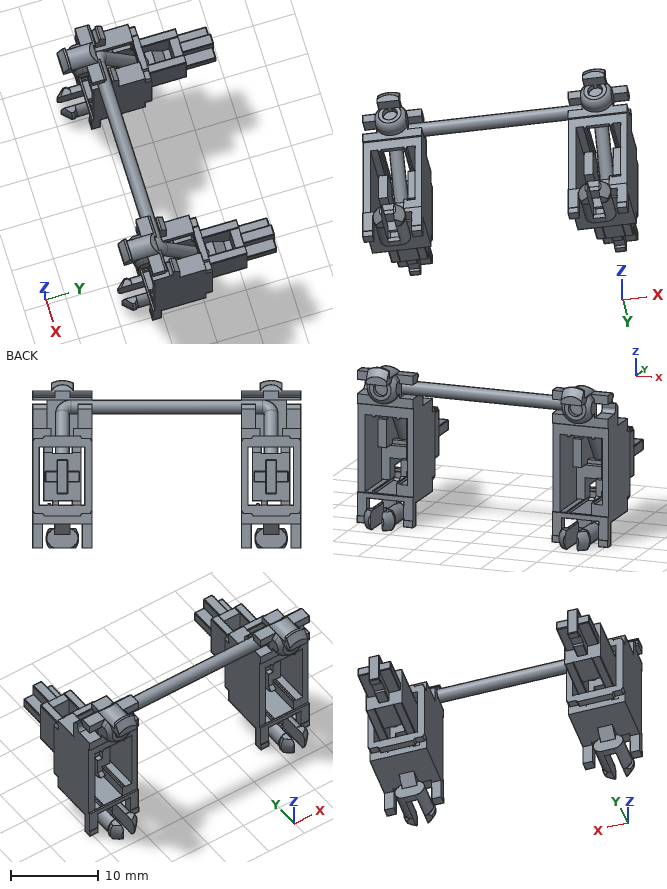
import cadquery as cq


overall_width = 30.7
housing_width = 6.82
unit_spacing = overall_width - housing_width
unit_centres = (-unit_spacing / 2, unit_spacing / 2)
half_width = housing_width / 2

body_bottom = 2.73
body_top = 13.7
body_back = 6.15
cavity_left = -2.55
cavity_right = 2.65
cavity_back = 6.02
cavity_bottom = 3.62
cavity_top = 12.8
back_plate_thickness = 0.77
back_plate_end = body_back + back_plate_thickness
window_bottom = 4.9
window_top = 11.55
sill_drop = 0.3
sill_depth = 0.3
top_slot_half = 1.3
ledge_start = 1.32
ridge_offset = 1.5
ridge_half = 0.2
ridge_crest_half = 0.1
ridge_height = 0.2
floor_ramp_height = 0.28

plate_mid_z = 8.25
plate_half_height = 4.57
plate_shoulder_drop = 0.28
plate_corner_drop = 0.7
plate_middle_half = 2.05
plate_shoulder_half = 2.25
plate_bevel_half = 3.2

front_lip = 0.2
lip_top_z = 14.1
lip_bottom_z = 3.55
cradle_back = 2.98
cradle_chamfer_z = 15.9
cradle_tip = (2.4, 16.5)
cradle_mouth = (2.18, 16.45)
cradle_wall = (2.2, 15.9)
cradle_bend = (2.12, 15.55)
cradle_floor = (1.8, 15.32)
cradle_front_z = 15.23
post_half = 1.78
post_back = 0.43
bar_bottom = 16.95
bar_top = 18.0
bar_back = 1.23
bar_nose = 1.5
bar_notch_half = 0.85
bar_nose_bottom = 17.5
bar_nose_top = 17.75

boss_z = 16.5
boss_radius = 1.93
boss_front = -1.75
boss_rim_radius = 1.32
boss_round_start = -0.8
boss_bore_radius = 0.85
boss_bore_depth = 0.6
hook_half = 1.25
hook_front = -3.0
hook_back = -2.05
hook_tip_front = -2.33
hook_bottom = 17.3
hook_front_radius = 1.8
hook_tip_radius = 2.7
roof_top = 18.7
roof_bevel_start = 0.55

foot_inner = 2.27
foot_back = 0.77
foot_bridge_bottom = 2.98
foot_pad_height = 0.8
foot_pad_front = -0.28
pin_height = 2.25
pin_half_width = 1.78
pin_back = 1.93
pin_neck_radius = 1.6
pin_neck_end = -1.47
pin_head_radius = 1.87
pin_head_start = -1.75
pin_head_end = -2.12
pin_nose_middle = (1.45, -2.6)
pin_nose_radius = 0.95
pin_front = -3.13
slit_half = 0.7
web_front = 1.15
web_half = 0.9
web_back = 3.13
socket_half_back = 0.5
socket_depth = 0.3
socket_bottom = 0.58
socket_top = 1.63

stem_half = 2.15
wing_inner = 1.1
stem_bottom = 5.4
stem_top = 10.93
stem_end = 11.42
stem_mid_z = (stem_bottom + stem_top) / 2
wing_chamfer = 0.1
flange_back = 5.83
flange_front = 3.1
left_flange_top = 11.9
right_flange_top = 12.3
plate_top = 8.2
plate_rear_top = 8.65
plate_front = 4.3
plate_step = 5.07
plate_bottom = 6.7
left_leg_bottom = 4.08
left_step_front = 3.68
right_pad_front = 3.68
right_flange_front = 3.8
tongue_start = 0.43
tongue_bottom = 4.15
tongue_top = 6.8
tongue_barb_top = 4.82
tongue_barb_tip_z = 4.45

end_wall_front = 10.35
pocket_floor = 7.2
ramp_end = 9.58
ramp_top = 8.5
crossbar_front = 7.37
crossbar_back = 8.25
underside_end = 8.15

cross_end = 15.17
cross_arm_end = 15.05
cross_half = 1.95
cross_thickness = 1.25
cross_chamfer = 0.1
notch_start = 13.02
notch_length = 1.35
notch_depth = 0.37

wire_radius = 0.8
wire_y = 1.3
wire_z = bar_bottom - wire_radius
leg_angle = 55.0
leg_length = 11.67
bend_radius = 0.98


def block(x0, x1, y0, y1, z0, z1):
    """Box between two corners."""
    return cq.Workplane("XY").box(x1 - x0, y1 - y0, z1 - z0, centered=False).translate((x0, y0, z0))


def side_profile(points, x0, x1):
    """Closed (y, z) outline extruded from x0 to x1."""
    return cq.Workplane("YZ").polyline(points).close().extrude(x1 - x0).translate((x0, 0, 0))


def revolved_about_y(points, axis_z):
    """Closed (radius, y) outline turned about the line x = 0, z = axis_z."""
    outline = cq.Workplane("XY").polyline(points).close()
    return outline.revolve(360, (0, 0, 0), (0, 1, 0)).translate((0, 0, axis_z))


def make_back_plate():
    steps = [
        (half_width, plate_half_height - plate_corner_drop),
        (plate_bevel_half, plate_half_height - plate_shoulder_drop),
        (plate_shoulder_half, plate_half_height - plate_shoulder_drop),
        (plate_middle_half, plate_half_height),
    ]
    upper = [(x, plate_mid_z + h) for x, h in steps] + [(-x, plate_mid_z + h) for x, h in reversed(steps)]
    lower = [(x, 2 * plate_mid_z - z) for x, z in reversed(upper)]
    plate = cq.Workplane("XZ").polyline(upper + lower).close().extrude(-back_plate_thickness)
    return plate.translate((0, body_back, 0))


def make_ridge(x, z, height):
    """Small rib running through the cavity; a negative height hangs down."""
    outline = [
        (x - ridge_half, z),
        (x - ridge_crest_half, z + height),
        (x + ridge_crest_half, z + height),
        (x + ridge_half, z),
    ]
    return cq.Workplane("XZ").polyline(outline).close().extrude(-cavity_back)


def make_shell():
    shell = block(-half_width, half_width, 0, body_back, body_bottom, body_top)
    shell = shell.union(make_back_plate())
    shell = shell.cut(block(cavity_left, cavity_right, 0, cavity_back, cavity_bottom, cavity_top))
    shell = shell.cut(
        block(cavity_left, cavity_right, cavity_back, back_plate_end, window_bottom, window_top)
    )
    shell = shell.union(block(ledge_start, cavity_right, 0, cavity_back, cavity_bottom, window_bottom))
    sill_bottom = window_bottom - sill_drop
    shell = shell.cut(
        block(
            -top_slot_half, top_slot_half, cavity_back, cavity_back + sill_depth,
            sill_bottom, window_bottom,
        )
    )
    ramp = [
        (cavity_back, cavity_bottom),
        (cavity_back, cavity_bottom + floor_ramp_height),
        (cavity_back - floor_ramp_height, cavity_bottom),
    ]
    shell = shell.union(side_profile(ramp, -top_slot_half, top_slot_half))
    for x in (-ridge_offset, ridge_offset):
        shell = shell.union(make_ridge(x, cavity_top, -ridge_height))
    shell = shell.union(make_ridge(-ridge_offset, cavity_bottom, ridge_height))
    return shell.union(make_ridge(ridge_offset, window_bottom, ridge_height))


def make_cradle():
    """Raised front wall whose two outer parts hold the wire in a groove."""
    cradle = (
        cq.Workplane("YZ")
        .moveTo(0, cavity_top)
        .lineTo(cradle_back, cavity_top)
        .lineTo(cradle_back, cradle_chamfer_z)
        .lineTo(*cradle_tip)
        .lineTo(*cradle_mouth)
        .lineTo(*cradle_wall)
        .threePointArc(cradle_bend, cradle_floor)
        .lineTo(-front_lip, cradle_front_z)
        .lineTo(-front_lip, lip_top_z)
        .lineTo(0, lip_top_z)
        .close()
        .extrude(housing_width)
        .translate((-half_width, 0, 0))
    )
    return cradle.cut(block(-post_half, post_half, post_back, cradle_back, body_top, cradle_tip[1]))


def make_clip_bar():
    bar = [
        (-front_lip, bar_bottom),
        (bar_back, bar_bottom),
        (bar_back, (bar_bottom + bar_nose_bottom) / 2),
        (bar_nose, bar_nose_bottom),
        (bar_nose, bar_nose_top),
        (bar_back, bar_top),
        (-front_lip, bar_top),
    ]
    clip = side_profile(bar, -half_width, half_width)
    clip = clip.cut(block(-bar_notch_half, bar_notch_half, bar_back, bar_nose, bar_bottom, bar_top))
    return clip.union(block(-post_half, post_half, -front_lip, post_back, lip_top_z, bar_top))


def make_boss():
    """Round boss with flattened sides, a rounded front rim and a blind bore."""
    boss = (
        cq.Workplane("XY")
        .lineTo(boss_radius, 0)
        .lineTo(boss_radius, boss_round_start)
        .tangentArcPoint((boss_rim_radius, boss_front), relative=False)
        .lineTo(0, boss_front)
        .close()
        .revolve(360, (0, 0, 0), (0, 1, 0))
    )
    bore = cq.Workplane("XZ").circle(boss_bore_radius).extrude(boss_bore_depth)
    boss = boss.cut(bore.translate((0, boss_front + boss_bore_depth, 0))).translate((0, 0, boss_z))
    flats = block(-post_half, post_half, boss_front, 0, boss_z - boss_radius, boss_z + boss_radius)
    return boss.intersect(flats)


def make_hook():
    """Snap hook: an arched roof that ends in a barb turned about the boss axis."""
    roof = (
        cq.Workplane("XZ")
        .moveTo(-hook_half, hook_bottom)
        .lineTo(-hook_half, bar_top)
        .threePointArc((0, roof_top), (hook_half, bar_top))
        .lineTo(hook_half, hook_bottom)
        .close()
        .extrude(bar_back - hook_front)
        .translate((0, bar_back, 0))
    )
    roof_side = [
        (post_back, hook_bottom),
        (bar_back, bar_top),
        (roof_bevel_start, roof_top),
        (hook_back, roof_top),
        (hook_back, hook_bottom),
    ]
    roof = roof.intersect(side_profile(roof_side, -hook_half, hook_half))
    barb = revolved_about_y(
        [
            (0, hook_front),
            (hook_front_radius, hook_front),
            (hook_tip_radius, hook_tip_front),
            (hook_tip_radius, hook_back),
            (0, hook_back),
        ],
        boss_z,
    )
    barb = barb.intersect(
        block(-hook_half, hook_half, hook_front, hook_back, hook_bottom, boss_z + hook_tip_radius)
    )
    return roof.union(barb)


def make_feet():
    feet = block(-half_width, half_width, -front_lip, foot_back, 0, lip_bottom_z)
    return feet.union(block(-half_width, half_width, foot_pad_front, 0, 0, foot_pad_height))


def make_foot_opening():
    """Space between the two feet that the split pin hangs in."""
    return block(-foot_inner, foot_inner, foot_pad_front, web_front, 0, foot_bridge_bottom)


def make_split_pin():
    """Split snap pin with a rounded flat shank, hung from the body by a triangular web."""
    shank = cq.Workplane("XZ").slot2D(2 * pin_half_width, pin_height).extrude(pin_back - pin_neck_end)
    shank = shank.translate((0, pin_back, pin_height / 2))
    head = (
        cq.Workplane("XY")
        .moveTo(0, pin_neck_end)
        .lineTo(pin_neck_radius, pin_neck_end)
        .lineTo(pin_head_radius, pin_head_start)
        .lineTo(pin_head_radius, pin_head_end)
        .threePointArc(pin_nose_middle, (pin_nose_radius, pin_front))
        .lineTo(0, pin_front)
        .close()
        .revolve(360, (0, 0, 0), (0, 1, 0))
        .translate((0, 0, pin_height / 2))
    )
    head = head.intersect(
        block(-pin_head_radius, pin_head_radius, pin_front, pin_neck_end, 0, pin_height)
    )
    pin = shank.union(head)
    pin = pin.cut(block(-slit_half, slit_half, pin_front, web_front, 0, pin_height))
    socket = cq.Workplane("XY").polyline(
        [
            (-slit_half, web_front),
            (-socket_half_back, web_front + socket_depth),
            (socket_half_back, web_front + socket_depth),
            (slit_half, web_front),
        ]
    )
    socket = socket.close().extrude(socket_top - socket_bottom).translate((0, 0, socket_bottom))
    web_drop = web_back - pin_back
    web = [
        (web_front, foot_bridge_bottom),
        (web_back, foot_bridge_bottom),
        (web_back, body_bottom),
        (pin_back, body_bottom - web_drop),
        (web_front, body_bottom - web_drop),
    ]
    return pin.union(side_profile(web, -web_half, web_half)).cut(socket)


def make_housing(x):
    housing = make_shell().union(make_cradle()).union(make_clip_bar())
    housing = housing.union(make_boss()).union(make_hook())
    housing = housing.union(make_feet()).cut(make_foot_opening()).union(make_split_pin())
    slot = block(-top_slot_half, top_slot_half, post_back, body_back, cavity_top, body_top)
    return housing.cut(slot).translate((x, 0, 0))


def make_wings():
    wings = None
    for x0 in (-stem_half, wing_inner):
        wing = block(x0, x0 + stem_half - wing_inner, flange_back, stem_end, stem_bottom, stem_top)
        wing = wing.edges("|Y").chamfer(wing_chamfer)
        wings = wing if wings is None else wings.union(wing)
    left_flange = block(-stem_half, -wing_inner, flange_front, flange_back, plate_top, window_top)
    left_step = block(-stem_half, -wing_inner, left_step_front, flange_back, window_top, left_flange_top)
    right_flange = block(
        wing_inner, stem_half, right_flange_front, flange_back, plate_top, right_flange_top
    )
    return wings.union(left_flange).union(left_step).union(right_flange)


def make_front_plate():
    """Plate under the wire legs that joins both wings, with its legs and tongue."""
    plate = block(-stem_half, stem_half, plate_front, flange_back, plate_bottom, plate_top)
    plate = plate.union(block(-wing_inner, wing_inner, plate_step, flange_back, plate_top, plate_rear_top))
    plate = plate.union(
        block(-stem_half, -wing_inner, plate_front, flange_back, left_leg_bottom, plate_top)
    )
    plate = plate.union(
        block(wing_inner, stem_half, right_pad_front, flange_back, stem_bottom, plate_top)
    )
    plate = plate.union(
        block(tongue_start, wing_inner, right_pad_front, flange_back, tongue_bottom, tongue_top)
    )
    barb = [
        (right_pad_front, tongue_barb_top),
        (flange_front, tongue_barb_tip_z),
        (right_pad_front, tongue_bottom),
    ]
    return plate.union(side_profile(barb, tongue_start, wing_inner))


def make_web():
    """Web between the wings: an end wall, a pocket with a ramp, and a bar that takes the wire leg."""
    outline = [
        (stem_end, stem_top - wing_chamfer),
        (end_wall_front, stem_top - wing_chamfer),
        (end_wall_front, pocket_floor),
        (ramp_end, pocket_floor),
        (crossbar_back, ramp_top),
        (crossbar_back, plate_rear_top),
        (crossbar_front, plate_rear_top),
        (crossbar_front, plate_bottom),
        (underside_end, stem_bottom),
        (stem_end, stem_bottom),
    ]
    return side_profile(outline, -wing_inner, wing_inner)


def make_cross_post():
    half_thickness = cross_thickness / 2
    arms = block(
        -cross_half, cross_half, stem_end, cross_arm_end,
        stem_mid_z - half_thickness, stem_mid_z + half_thickness,
    )
    arms = arms.edges(">Y or |Y").chamfer(cross_chamfer)
    post_bottom = stem_mid_z - cross_half
    post = block(
        -half_thickness, half_thickness, stem_end, cross_end, post_bottom, stem_mid_z + cross_half
    )
    post = post.edges(">Y or |Y").chamfer(cross_chamfer)
    notch = block(
        -half_thickness, half_thickness, notch_start, notch_start + notch_length,
        post_bottom, post_bottom + notch_depth,
    )
    return arms.union(post.cut(notch))


def make_stem(x):
    stem = make_wings().union(make_front_plate()).union(make_web()).union(make_cross_post())
    return stem.translate((x, 0, 0))


def make_wire():
    """Straight wire with a leg bent back and down at each end, rounded at the bends."""
    leg_x = unit_spacing / 2
    path = (
        cq.Workplane("XY")
        .moveTo(-leg_x, leg_length)
        .lineTo(-leg_x, bend_radius)
        .tangentArcPoint((-leg_x + bend_radius, 0), relative=False)
        .lineTo(leg_x - bend_radius, 0)
        .tangentArcPoint((leg_x, bend_radius), relative=False)
        .lineTo(leg_x, leg_length)
    )
    section = cq.Workplane("XZ", origin=(-leg_x, leg_length, 0)).circle(wire_radius)
    wire = section.sweep(path)
    return wire.rotate((0, 0, 0), (1, 0, 0), -leg_angle).translate((0, wire_y, wire_z))


def make_lever():
    """One moving body: the wire with a stem fixed to each leg."""
    lever = make_wire()
    for x in unit_centres:
        lever = lever.union(make_stem(x))
    return lever


housings = [make_housing(x).solids().val() for x in unit_centres]
lever = make_lever().solids().val()
result = cq.Compound.makeCompound([lever, *housings])